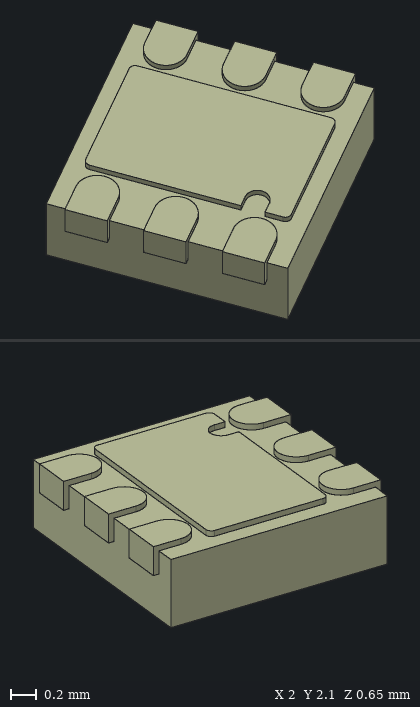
import cadquery as cq

body_side = 2.0
overall_length = 2.1
overall_height = 0.65
metal_thickness = (overall_length - body_side) / 2
body_height = overall_height - metal_thickness

lead_width = 0.35
lead_length = 0.43
lead_drop = 0.255
lead_pitch = 0.65
lead_columns = (-lead_pitch, 0, lead_pitch)

pad_length_x = 1.7
pad_length_y = 1.1
pad_corner_radius = 0.05
notch_width = 0.2
notch_depth = 0.2
notch_x = 0.55


def round_ended_tab(width, length, height):
    """Tab from Y = 0 to Y = length, square at the start and round at the far end."""
    half_width = width / 2
    straight_end = length - half_width
    return (
        cq.Workplane("XY")
        .moveTo(-half_width, 0)
        .lineTo(-half_width, straight_end)
        .threePointArc((0, length), (half_width, straight_end))
        .lineTo(half_width, 0)
        .close()
        .extrude(height)
    )


def make_body():
    return cq.Workplane("XY").box(
        body_side, body_side, body_height, centered=(True, True, False)
    )


def make_lead():
    """Lead on the -Y side, centred on X = 0."""
    outer_y = -overall_length / 2
    top_tab = round_ended_tab(lead_width, lead_length, metal_thickness)
    top_tab = top_tab.translate((0, outer_y, body_height))
    wall_strip = cq.Workplane("XY").box(
        lead_width, metal_thickness, lead_drop, centered=(True, False, False)
    )
    wall_strip = wall_strip.translate((0, outer_y, overall_height - lead_drop))
    return top_tab.union(wall_strip)


def make_pad():
    pad = (
        cq.Workplane("XY")
        .box(pad_length_x, pad_length_y, metal_thickness, centered=(True, True, False))
        .edges("|Z")
        .fillet(pad_corner_radius)
    )
    notch = round_ended_tab(notch_width, notch_depth, metal_thickness)
    notch = notch.translate((notch_x, -pad_length_y / 2, 0))
    return pad.cut(notch).translate((0, 0, body_height))


result = make_body().union(make_pad())
front_lead = make_lead()
back_lead = front_lead.mirror("XZ")
for lead_x in lead_columns:
    for lead in (front_lead, back_lead):
        result = result.union(lead.translate((lead_x, 0, 0)))